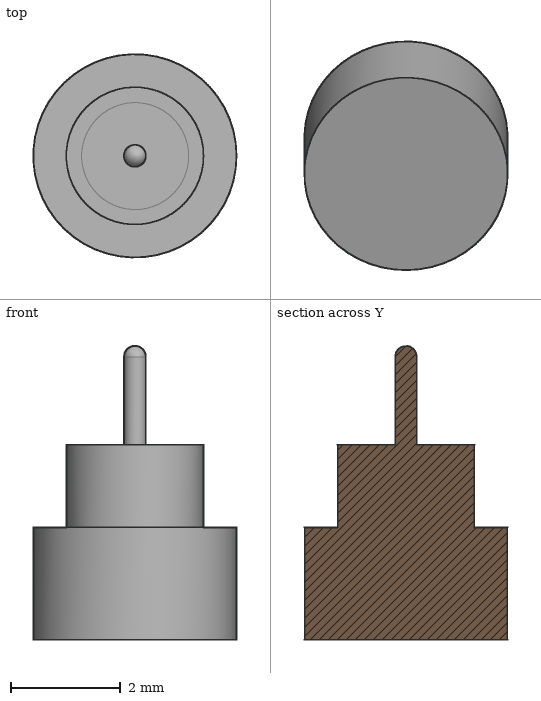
import cadquery as cq

total_height = 5.35
base_diameter = 3.7
base_height = 2.05
barrel_diameter = 2.5
barrel_height = 1.505
insert_diameter = 1.95
pin_diameter = 0.4

base_radius = base_diameter / 2
barrel_radius = barrel_diameter / 2
insert_radius = insert_diameter / 2
pin_radius = pin_diameter / 2
barrel_top = base_height + barrel_height
dome_start = total_height - pin_radius
dome_mid_offset = pin_radius * 0.5 ** 0.5

half_section = (
    cq.Workplane("XZ")
    .moveTo(0, 0)
    .lineTo(base_radius, 0)
    .lineTo(base_radius, base_height)
    .lineTo(barrel_radius, base_height)
    .lineTo(barrel_radius, barrel_top)
    .lineTo(insert_radius, barrel_top)
    .lineTo(pin_radius, barrel_top)
    .lineTo(pin_radius, dome_start)
    .threePointArc((dome_mid_offset, dome_start + dome_mid_offset), (0, total_height))
    .close()
)

result = half_section.revolve(360, (0, 0), (0, 1), clean=False)